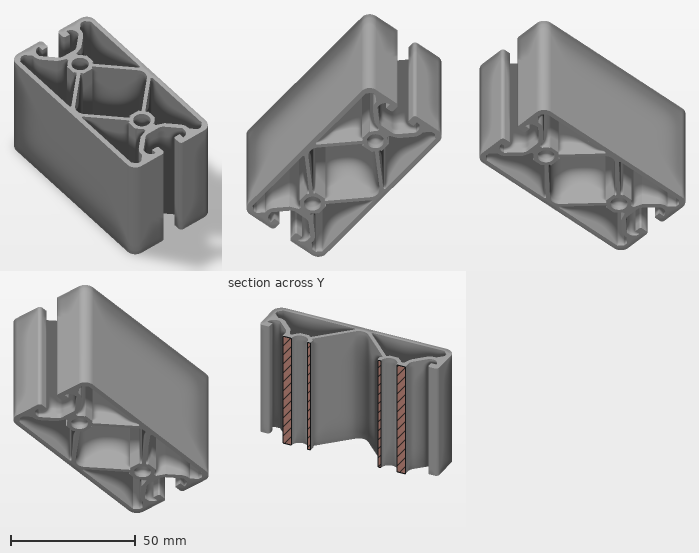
import cadquery as cq
import math

length_x = 80.0
width_y = 40.0
height_z = 50.0
outer_radius = 4.0
wall = 2.0
half_x = length_x / 2
half_y = width_y / 2

slot_half_opening = 4.0
slot_half_inside = 10.0
slot_depth = 12.5
slot_arc_radius = 3.0
end_wall = 2.2
lip_depth = 4.5
lip_outer_radius = 1.4
lip_inner_radius = 0.8

boss_x = length_x / 4
boss_radius = 5.0
side_pad_half_width = 2.2
inner_pad_half_width = 2.5
hole_diameter = 7.0
neck_half_width = 2.5

web_thickness = 1.5
diamond_radius = 4.0

corner_chamfer = 1.8
corner_flat = 1.7
cavity_radius = 0.5

root2 = math.sqrt(2)

shelf_y = slot_half_inside - slot_arc_radius
shelf_center = (half_x - end_wall - slot_arc_radius, shelf_y)
floor_center_x = half_x - slot_depth + slot_arc_radius
floor_center = (floor_center_x, shelf_y - (shelf_center[0] - floor_center_x))

web_offset = web_thickness / 2 * root2

web_angle = math.degrees(math.asin(web_thickness / 2 / boss_radius))
boss_center = (boss_x, 0)


def polar(center, radius, degrees):
    angle = math.radians(degrees)
    return (center[0] + radius * math.cos(angle), center[1] + radius * math.sin(angle))


def line_and_arc(path, center, radius, start, end):
    """Continue straight to the start of an arc, then along it; angles in degrees."""
    path = path.lineTo(*polar(center, radius, start))
    return path.threePointArc(polar(center, radius, (start + end) / 2), polar(center, radius, end))


def round_corners(cavity, corners):
    """Round the cavity's vertical edges at the given XY points."""
    for corner in corners:
        nearest = cq.selectors.NearestToPointSelector((corner[0], corner[1], height_z / 2))
        cavity = cavity.edges("|Z").edges(nearest).fillet(cavity_radius)
    return cavity


def slot_half():
    """The +Y half of the slot in the +X end."""
    lip_x = half_x - lip_depth
    lip_outer = (half_x - lip_outer_radius, slot_half_opening + lip_outer_radius)
    lip_inner = (lip_x + lip_inner_radius, slot_half_opening + lip_inner_radius)
    path = cq.Workplane("XY").moveTo(half_x, 0)
    path = line_and_arc(path, lip_outer, lip_outer_radius, 0, -90)
    path = line_and_arc(path, lip_inner, lip_inner_radius, 270, 180)
    path = path.lineTo(lip_x, shelf_y)
    path = line_and_arc(path, shelf_center, slot_arc_radius, 0, 90)
    flank_top_x = shelf_center[0] - slot_arc_radius * (root2 - 1)
    path = path.lineTo(flank_top_x, slot_half_inside)
    path = line_and_arc(path, floor_center, slot_arc_radius, 135, 180)
    return path.lineTo(half_x - slot_depth, 0).close().extrude(height_z)


def corner_cavity():
    """The cavity in the +X +Y corner, between the slot, the boss and a web."""
    top_y = half_y - wall
    side_x = half_x - end_wall
    slot_wall_radius = slot_arc_radius + wall
    flat_top_y = top_y - corner_chamfer
    flat_bottom_y = flat_top_y - corner_flat

    shelf_top_y = shelf_y + slot_wall_radius
    lower_side_x = side_x - (flat_bottom_y - shelf_top_y)

    web_root = polar(boss_center, boss_radius, 135 - web_angle)
    web_tip = (boss_x - top_y + web_offset, top_y)
    neck_angle = math.degrees(math.asin(neck_half_width / boss_radius))
    pad_angle = math.degrees(math.acos(side_pad_half_width / boss_radius))

    path = (
        cq.Workplane("XY")
        .moveTo(*web_tip)
        .lineTo(side_x - corner_chamfer, top_y)
        .lineTo(side_x, flat_top_y)
        .lineTo(side_x, flat_bottom_y)
        .lineTo(lower_side_x, shelf_top_y)
    )
    path = line_and_arc(path, shelf_center, slot_wall_radius, 90, 135)
    path = path.lineTo(*polar(floor_center, slot_wall_radius, 135))
    path = path.lineTo(floor_center[0] - slot_wall_radius, neck_half_width)
    path = line_and_arc(path, boss_center, boss_radius, neck_angle, pad_angle)
    path = path.lineTo(boss_x + side_pad_half_width, boss_radius)
    path = path.lineTo(boss_x - side_pad_half_width, boss_radius)
    path = line_and_arc(path, boss_center, boss_radius, 180 - pad_angle, 135 - web_angle)
    cavity = path.close().extrude(height_z)
    return round_corners(cavity, (web_tip, web_root))


def diamond_quarter():
    """The +X +Y quarter of the cavity between the bosses."""
    pad_x = boss_x - boss_radius
    pad_angle = math.degrees(math.asin(inner_pad_half_width / boss_radius))
    web_root = polar(boss_center, boss_radius, 135 + web_angle)
    apex_center = (0, boss_x - web_offset - diamond_radius * root2)
    path = cq.Workplane("XY").lineTo(pad_x, 0).lineTo(pad_x, inner_pad_half_width)
    path = line_and_arc(path, boss_center, boss_radius, 180 - pad_angle, 135 + web_angle)
    path = line_and_arc(path, apex_center, diamond_radius, 45, 90)
    return round_corners(path.close().extrude(height_z), [web_root])


body = cq.Workplane("XY").rect(length_x, width_y).extrude(height_z)
body = body.edges("|Z").fillet(outer_radius)

for quarter in (slot_half(), corner_cavity(), diamond_quarter()):
    end_pair = quarter.union(quarter.mirror("XZ"))
    body = body.cut(end_pair).cut(end_pair.mirror("YZ"))

holes = (
    cq.Workplane("XY")
    .pushPoints([(-boss_x, 0), (boss_x, 0)])
    .circle(hole_diameter / 2)
    .extrude(height_z)
)
result = body.cut(holes)